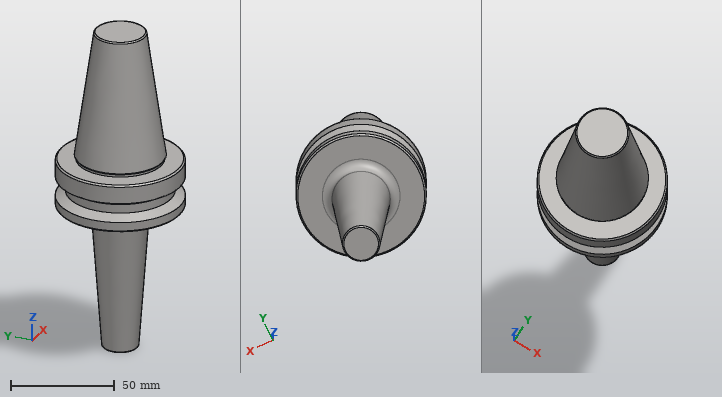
import cadquery as cq
import math

total_length = 167.4

taper_length = 65.5
taper_base_radius = 22.3
taper_top_radius = 12.9
taper_top_chamfer = 0.7

neck_length = 2.0
neck_radius = 21.6
neck_shoulder_height = 0.8

flange_radius = 31.5
flange_height = 25.0
flange_chamfer = 0.8
upper_rim_height = 9.5
groove_radius = 26.6
groove_floor_height = 4.5
groove_flank_angle = math.radians(30)

nose_root_radius = 14.0
nose_tip_radius = 9.0
nose_tip_chamfer = 0.7
root_fillet = 4.7

taper_base_z = total_length - taper_length
flange_top_z = taper_base_z - neck_length
flange_bottom_z = flange_top_z - flange_height
fillet_end_z = flange_bottom_z - root_fillet

groove_flank_height = (flange_radius - groove_radius) * math.tan(groove_flank_angle)
upper_rim_bottom_z = flange_top_z - upper_rim_height
groove_top_z = upper_rim_bottom_z - groove_flank_height
groove_bottom_z = groove_top_z - groove_floor_height
lower_rim_top_z = groove_bottom_z - groove_flank_height

arc_mid_offset = root_fillet * (1 - math.sqrt(0.5))
fillet_middle = (nose_root_radius + arc_mid_offset, flange_bottom_z - arc_mid_offset)

half_section = (
    cq.Workplane("XZ")
    .moveTo(0, 0)
    .lineTo(nose_tip_radius - nose_tip_chamfer, 0)
    .lineTo(nose_tip_radius, nose_tip_chamfer)
    .lineTo(nose_root_radius, fillet_end_z)
    .threePointArc(fillet_middle, (nose_root_radius + root_fillet, flange_bottom_z))
    .lineTo(flange_radius - flange_chamfer, flange_bottom_z)
    .lineTo(flange_radius, flange_bottom_z + flange_chamfer)
    .lineTo(flange_radius, lower_rim_top_z)
    .lineTo(groove_radius, groove_bottom_z)
    .lineTo(groove_radius, groove_top_z)
    .lineTo(flange_radius, upper_rim_bottom_z)
    .lineTo(flange_radius, flange_top_z - flange_chamfer)
    .lineTo(flange_radius - flange_chamfer, flange_top_z)
    .lineTo(neck_radius, flange_top_z)
    .lineTo(neck_radius, taper_base_z - neck_shoulder_height)
    .lineTo(taper_base_radius, taper_base_z)
    .lineTo(taper_top_radius, total_length - taper_top_chamfer)
    .lineTo(taper_top_radius - taper_top_chamfer, total_length)
    .lineTo(0, total_length)
    .close()
)

result = half_section.revolve(360, (0, 0, 0), (0, 1, 0))